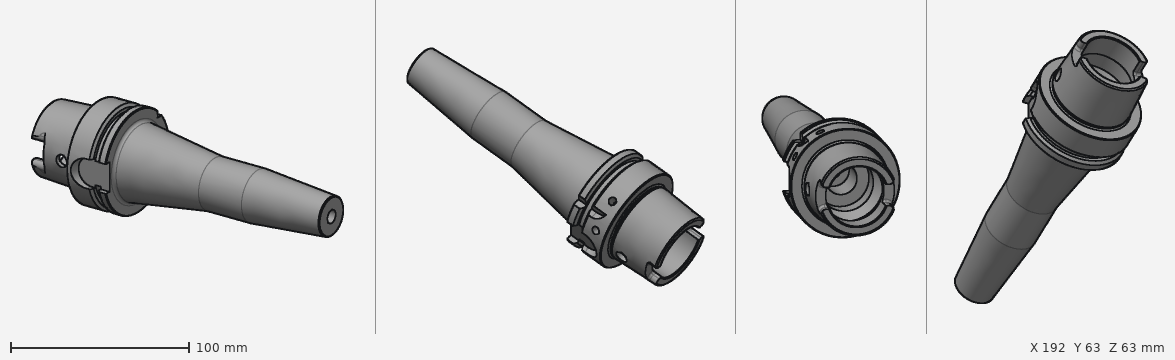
import cadquery as cq
import math


CUT_CLEARANCE = 1.0

SHANK_LENGTH = 32.0
PROJECTION = 160.0

TAPER_RATIO = 1 / 10
GAUGE_RADIUS = 24.0
GAUGE_DISTANCE = 6.3
SHANK_CHAMFER_RADIAL = 1.0
SHANK_CHAMFER_AXIAL = 0.7
NECK_LENGTH = 2.4
NECK_DEPTH = 0.4
NECK_RAMP = 1.0
NECK_FLARE_LENGTH = 0.7
NECK_FLARE_RADIUS = 25.0

FLANGE_RADIUS = 31.5
FLANGE_WIDTH = 26.0
FLANGE_CHAMFER = 0.5
GROOVE_FLOOR_RADIUS = 27.5
GROOVE_FLOOR_START = 16.2
GROOVE_FLOOR_END = 19.9
GROOVE_WALL_LEAN = 1.5
GROOVE_WALL_RADIUS = 29.6

NOSE_ROOT_FILLET = 2.0
NOSE_ROOT_RADIUS = 23.2
NOSE_CYLINDER_RADIUS = 16.0
NOSE_CYLINDER_START = 79.6
TIP_RADIUS = 12.0
TIP_CONE_ANGLE = 4.5
TIP_CHAMFER = 0.6

CAVITY_RADIUS = 17.2
CAVITY_CHAMFER = 0.6
CLAMP_FLANK_X = -18.13
CLAMP_FLANK_ANGLE = 30.0
UNDERCUT_RADIUS = 20.5
UNDERCUT_END_X = -5.8
CAVITY_INNER_RADIUS = 15.8
CAVITY_DEPTH = 42.0
THREAD_BORE_RADIUS = 8.9
THREAD_BORE_DEPTH = 20.0
THROUGH_BORE_DIAMETER = 8.0

DRIVE_SLOT_HALF_WIDTH = 6.2
DRIVE_SLOT_ROUNDING = 2.8
DRIVE_SLOT_BLEND_RADIUS = 23.0
DRIVE_SLOT_FLANK_LENGTH = 5.0
DRIVE_SLOT_DEPTHS = {-1: 10.0, 1: 6.0}
DRIVE_SLOT_END_FILLET = 1.5

ACCESS_HOLE_DIAMETER = 7.5
ACCESS_HOLE_X = -9.0

KEYWAY_HALF_WIDTH = 9.0
KEYWAY_FLOOR = 26.5
KEYWAY_END_X = 4.7
KEYWAY_END_LEAN = 1.9

NOTCH_OFFSET = 20.0
NOTCH_RADIUS = 8.0
NOTCH_CENTER_X = 12.8

RIM_HOLE_DIAMETER = 4.6
RIM_HOLE_X = 7.0
RIM_HOLE_DEPTH = 10.0
RIM_HOLE_ANGLES = (24.2, 60.5)


def taper_radius(x):
    """Radius of the shank cone at the axial position x."""
    return GAUGE_RADIUS + (x + GAUGE_DISTANCE) * TAPER_RATIO / 2


def revolve_about_x(profile):
    return profile.close().revolve(360, (0, 0, 0), (1, 0, 0))


def make_body():
    """Solid of revolution: taper shank, grooved flange, tapering nose."""
    end_radius = taper_radius(-SHANK_LENGTH)
    neck_radius = taper_radius(-NECK_LENGTH)
    tip_cone_length = (NOSE_CYLINDER_RADIUS - TIP_RADIUS) / math.tan(math.radians(TIP_CONE_ANGLE))
    right_wall_top = GROOVE_FLOOR_END + GROOVE_WALL_LEAN
    left_wall_top = GROOVE_FLOOR_START - GROOVE_WALL_LEAN
    fillet_end_x = FLANGE_WIDTH + NOSE_ROOT_FILLET
    profile = (
        cq.Workplane("XZ")
        .moveTo(-SHANK_LENGTH, 0)
        .lineTo(-SHANK_LENGTH, end_radius - SHANK_CHAMFER_RADIAL)
        .lineTo(-SHANK_LENGTH + SHANK_CHAMFER_AXIAL, taper_radius(-SHANK_LENGTH + SHANK_CHAMFER_AXIAL))
        .lineTo(-NECK_LENGTH, neck_radius)
        .lineTo(-NECK_LENGTH + NECK_RAMP, neck_radius - NECK_DEPTH)
        .lineTo(-NECK_FLARE_LENGTH, neck_radius - NECK_DEPTH)
        .lineTo(0, NECK_FLARE_RADIUS)
        .lineTo(0, FLANGE_RADIUS - FLANGE_CHAMFER)
        .lineTo(FLANGE_CHAMFER, FLANGE_RADIUS)
        .lineTo(left_wall_top, FLANGE_RADIUS)
        .lineTo(GROOVE_FLOOR_START, GROOVE_WALL_RADIUS)
        .lineTo(GROOVE_FLOOR_START, GROOVE_FLOOR_RADIUS)
        .lineTo(GROOVE_FLOOR_END, GROOVE_FLOOR_RADIUS)
        .lineTo(GROOVE_FLOOR_END, GROOVE_WALL_RADIUS)
        .lineTo(right_wall_top, FLANGE_RADIUS)
        .lineTo(FLANGE_WIDTH - FLANGE_CHAMFER, FLANGE_RADIUS)
        .lineTo(FLANGE_WIDTH, FLANGE_RADIUS - FLANGE_CHAMFER)
        .lineTo(FLANGE_WIDTH, NOSE_ROOT_RADIUS + NOSE_ROOT_FILLET)
        .tangentArcPoint((fillet_end_x, NOSE_ROOT_RADIUS), relative=False)
        .lineTo(NOSE_CYLINDER_START, NOSE_CYLINDER_RADIUS)
        .lineTo(PROJECTION - tip_cone_length, NOSE_CYLINDER_RADIUS)
        .lineTo(PROJECTION - TIP_CHAMFER, TIP_RADIUS)
        .lineTo(PROJECTION, TIP_RADIUS - TIP_CHAMFER)
        .lineTo(PROJECTION, 0)
    )
    return revolve_about_x(profile)


def make_bores():
    """Clamping cavity with an undercut, threaded-size coolant bore and through bore, all coaxial."""
    floor_x = CAVITY_DEPTH - SHANK_LENGTH
    flank_length = (UNDERCUT_RADIUS - CAVITY_RADIUS) * math.tan(math.radians(CLAMP_FLANK_ANGLE))
    run_in_length = UNDERCUT_RADIUS - CAVITY_INNER_RADIUS
    profile = (
        cq.Workplane("XZ")
        .moveTo(-SHANK_LENGTH, 0)
        .lineTo(-SHANK_LENGTH, CAVITY_RADIUS + CAVITY_CHAMFER)
        .lineTo(-SHANK_LENGTH + CAVITY_CHAMFER, CAVITY_RADIUS)
        .lineTo(CLAMP_FLANK_X, CAVITY_RADIUS)
        .lineTo(CLAMP_FLANK_X + flank_length, UNDERCUT_RADIUS)
        .lineTo(UNDERCUT_END_X, UNDERCUT_RADIUS)
        .lineTo(UNDERCUT_END_X + run_in_length, CAVITY_INNER_RADIUS)
        .lineTo(floor_x, CAVITY_INNER_RADIUS)
        .lineTo(floor_x, THREAD_BORE_RADIUS)
        .lineTo(floor_x + THREAD_BORE_DEPTH, THREAD_BORE_RADIUS)
        .lineTo(floor_x + THREAD_BORE_DEPTH, THROUGH_BORE_DIAMETER / 2)
        .lineTo(PROJECTION, THROUGH_BORE_DIAMETER / 2)
        .lineTo(PROJECTION, 0)
    )
    return revolve_about_x(profile)


def make_drive_slot(side, depth):
    """Slot in the shank end; its walls round outward into flat flanks near the shank surface."""
    half = DRIVE_SLOT_HALF_WIDTH
    rounding = DRIVE_SLOT_ROUNDING
    reach = GAUGE_RADIUS + CUT_CLEARANCE
    inner = CAVITY_RADIUS / 2

    arc_center_distance = DRIVE_SLOT_BLEND_RADIUS - rounding
    arc_z = half + rounding
    blend_angle = math.asin(arc_z / arc_center_distance)
    arc_y = arc_center_distance * math.cos(blend_angle)
    blend_y = DRIVE_SLOT_BLEND_RADIUS * math.cos(blend_angle)
    blend_z = DRIVE_SLOT_BLEND_RADIUS * math.sin(blend_angle)
    mid_angle = (blend_angle - math.pi / 2) / 2
    mid_y = arc_y + rounding * math.cos(mid_angle)
    mid_z = arc_z + rounding * math.sin(mid_angle)
    end_y = blend_y - DRIVE_SLOT_FLANK_LENGTH * math.sin(blend_angle)
    end_z = blend_z + DRIVE_SLOT_FLANK_LENGTH * math.cos(blend_angle)

    slot = (
        cq.Workplane("YZ", origin=(-SHANK_LENGTH, 0, 0))
        .moveTo(inner, -half)
        .lineTo(arc_y, -half)
        .threePointArc((mid_y, -mid_z), (blend_y, -blend_z))
        .lineTo(end_y, -end_z)
        .lineTo(reach, -end_z)
        .lineTo(reach, end_z)
        .lineTo(end_y, end_z)
        .lineTo(blend_y, blend_z)
        .threePointArc((mid_y, mid_z), (arc_y, half))
        .lineTo(inner, half)
        .close()
        .extrude(depth)
    )
    slot = slot.faces(">X").edges("not(<Y or >Y or <Z or >Z)").fillet(DRIVE_SLOT_END_FILLET)
    return slot if side > 0 else slot.mirror("XZ")


def keyway_outline(center_x, y):
    end_x = FLANGE_WIDTH + CUT_CLEARANCE
    half = KEYWAY_HALF_WIDTH
    return (
        cq.Workplane("XZ", origin=(0, y, 0))
        .moveTo(end_x, -half)
        .lineTo(center_x, -half)
        .threePointArc((center_x - half, 0), (center_x, half))
        .lineTo(end_x, half)
        .close()
        .wires()
        .val()
    )


def make_keyway(side):
    """Round-ended keyway open toward the nose; its end wall leans toward the flange face."""
    floor_center_x = KEYWAY_END_X + KEYWAY_HALF_WIDTH
    rim_center_x = floor_center_x - KEYWAY_END_LEAN
    floor_outline = keyway_outline(floor_center_x, side * KEYWAY_FLOOR)
    rim_outline = keyway_outline(rim_center_x, side * FLANGE_RADIUS)
    return cq.Workplane(cq.Solid.makeLoft([floor_outline, rim_outline], True))


def make_index_notch():
    """Square notch at 45 degrees between +Y and +Z, with a rounded end toward the flange face."""
    length = FLANGE_WIDTH - NOTCH_CENTER_X
    size = FLANGE_RADIUS - NOTCH_OFFSET
    center_z = NOTCH_OFFSET + NOTCH_RADIUS
    straight = cq.Workplane("XY").box(length, size, 2 * NOTCH_RADIUS, centered=False)
    straight = straight.translate((NOTCH_CENTER_X, NOTCH_OFFSET, NOTCH_OFFSET))
    rounded_end = (
        cq.Workplane("XZ", origin=(NOTCH_CENTER_X, NOTCH_OFFSET, center_z)).circle(NOTCH_RADIUS).extrude(-size)
    )
    return straight.union(rounded_end)


def make_rim_hole(angle):
    """Blind radial hole; the angle is measured from +Z toward +Y."""
    hole = (
        cq.Workplane("XY", origin=(RIM_HOLE_X, 0, FLANGE_RADIUS - RIM_HOLE_DEPTH))
        .circle(RIM_HOLE_DIAMETER / 2)
        .extrude(RIM_HOLE_DEPTH + CUT_CLEARANCE)
    )
    return hole.rotate((0, 0, 0), (1, 0, 0), -angle)


def make_access_hole():
    length = 2 * (GAUGE_RADIUS + CUT_CLEARANCE)
    hole = cq.Workplane("XZ", origin=(ACCESS_HOLE_X, length / 2, 0)).circle(ACCESS_HOLE_DIAMETER / 2)
    return hole.extrude(length)


result = make_body().cut(make_bores())
for slot_side, slot_depth in DRIVE_SLOT_DEPTHS.items():
    result = result.cut(make_drive_slot(slot_side, slot_depth))
    result = result.cut(make_keyway(slot_side))
result = result.cut(make_access_hole())
result = result.cut(make_index_notch())
for hole_angle in RIM_HOLE_ANGLES:
    result = result.cut(make_rim_hole(hole_angle))